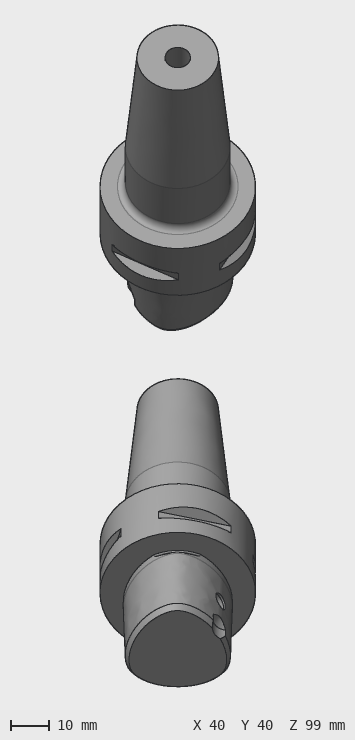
import cadquery as cq
import math


flange_diameter = 40.0
flange_height = 20.0
nose_top = 75.0
nose_base_diameter = 27.0
nose_tip_diameter = 21.0
nose_taper_start = 37.0
nose_root_fillet = 2.0
bore_diameter = 6.5
bore_depth = 36.0

slot_count = 4
slot_spacing = 360 / slot_count
slot_first_angle = 45.0
slot_centre_z = 8.0
slot_floor_distance = 17.5
slot_floor_height = 2.7
slot_flank_angle = 27.0

shank_length = 24.0
shank_collar_length = 2.4
shank_mean_radius = 14.05
lobe_count = 3
lobe_height = 0.91
shank_taper = 1 / 20
shank_chamfer_height = 1.75
shank_chamfer_width = 1.0
outline_points = 36

relief_radius = 14.05
relief_straight = 0.7
relief_fillet = 1.2

dimple_z = -11.55
dimple_diameter = 4.7
dimple_straight_depth = 0.8
dimple_cone_angle = 90.0
drill_overshoot = 1.0
notch_diameter = 8.0
notch_axis_offset = 2.4
notch_depth = 4.1
notch_point_angle = 90.0


def cone_height(radius, full_angle):
    """Height of a cone with the given base radius and full apex angle."""
    return radius / math.tan(math.radians(full_angle / 2))


def pointed_drill(radius, straight, point_angle):
    """Cylinder along +Z from the origin, ending in a cone."""
    tip = straight + cone_height(radius, point_angle)
    profile = cq.Workplane("XZ").polyline([(0, 0), (radius, 0), (radius, straight), (0, tip)]).close()
    return profile.revolve(360, (0, 0, 0), (0, 1, 0))


def lobed_wire(mean_radius, z):
    """Constant-width three-lobed outline at height z."""

    def point(t):
        turn = 2 * math.pi * t
        angle = turn + math.pi / 2
        half_width = mean_radius + lobe_height * math.cos(lobe_count * turn)
        slope = -lobe_count * lobe_height * math.sin(lobe_count * turn)
        x = half_width * math.cos(angle) - slope * math.sin(angle)
        y = half_width * math.sin(angle) + slope * math.cos(angle)
        return cq.Vector(x, y, z)

    points = [point(i / outline_points) for i in range(outline_points)]
    edge = cq.Edge.makeSpline(points, periodic=True)
    return cq.Wire.assembleEdges([edge])


def make_body():
    flange_radius = flange_diameter / 2
    base_radius = nose_base_diameter / 2
    tip_radius = nose_tip_diameter / 2
    arc_offset = nose_root_fillet * (1 - math.sqrt(0.5))
    profile = (
        cq.Workplane("XZ")
        .lineTo(flange_radius, 0)
        .lineTo(flange_radius, flange_height)
        .lineTo(base_radius + nose_root_fillet, flange_height)
        .threePointArc(
            (base_radius + arc_offset, flange_height + arc_offset),
            (base_radius, flange_height + nose_root_fillet),
        )
        .lineTo(base_radius, nose_taper_start)
        .lineTo(tip_radius, nose_top)
        .lineTo(0, nose_top)
        .close()
    )
    return profile.revolve(360, (0, 0, 0), (0, 1, 0))


def make_bore():
    return cq.Workplane("XY", origin=(0, 0, nose_top)).circle(bore_diameter / 2).extrude(-bore_depth)


def make_slot(angle):
    """Straight V-flanked groove across the flange, facing the given direction."""
    outer = flange_diameter / 2
    floor_half = slot_floor_height / 2
    slot_depth = outer - slot_floor_distance
    mouth_half = floor_half + slot_depth * math.tan(math.radians(slot_flank_angle))
    profile = cq.Workplane("XZ").polyline(
        [
            (slot_floor_distance, slot_centre_z - floor_half),
            (outer, slot_centre_z - mouth_half),
            (outer, slot_centre_z + mouth_half),
            (slot_floor_distance, slot_centre_z + floor_half),
        ]
    )
    return profile.close().extrude(outer, both=True).rotate((0, 0, 0), (0, 0, 1), angle)


def end_radius():
    """Mean radius where the taper meets the end chamfer."""
    taper_length = shank_length - shank_chamfer_height - shank_collar_length
    return shank_mean_radius - taper_length * shank_taper / 2


def make_shank():
    taper_end_z = shank_chamfer_height - shank_length
    sections = [
        (shank_mean_radius, 0),
        (shank_mean_radius, -shank_collar_length),
        (end_radius(), taper_end_z),
        (end_radius() - shank_chamfer_width, -shank_length),
    ]
    return cq.Workplane(cq.Solid.makeLoft([lobed_wire(radius, z) for radius, z in sections], True))


def make_relief():
    """Ring that leaves a round neck with a filleted lower end."""
    outer = flange_diameter / 2
    arc_offset = relief_fillet * (1 - math.sqrt(0.5))
    bottom_z = -relief_straight - relief_fillet
    profile = (
        cq.Workplane("XZ")
        .moveTo(relief_radius, 0)
        .lineTo(relief_radius, -relief_straight)
        .threePointArc(
            (relief_radius + arc_offset, bottom_z + arc_offset),
            (relief_radius + relief_fillet, bottom_z),
        )
        .lineTo(outer, bottom_z)
        .lineTo(outer, 0)
        .close()
    )
    return profile.revolve(360, (0, 0, 0), (0, 1, 0))


def make_dimple():
    mouth_y = lobe_height - shank_mean_radius
    drill = pointed_drill(dimple_diameter / 2, drill_overshoot + dimple_straight_depth, dimple_cone_angle)
    return drill.rotate((0, 0, 0), (1, 0, 0), -90).translate((0, mouth_y - drill_overshoot, dimple_z))


def make_notch():
    axis_y = lobe_height - end_radius() - notch_axis_offset
    drill = pointed_drill(notch_diameter / 2, notch_depth, notch_point_angle)
    return drill.translate((0, axis_y, -shank_length))


shank = make_shank().cut(make_relief()).cut(make_dimple()).cut(make_notch())
result = make_body().cut(make_bore())
for index in range(slot_count):
    result = result.cut(make_slot(slot_first_angle + index * slot_spacing))
result = result.union(shank)